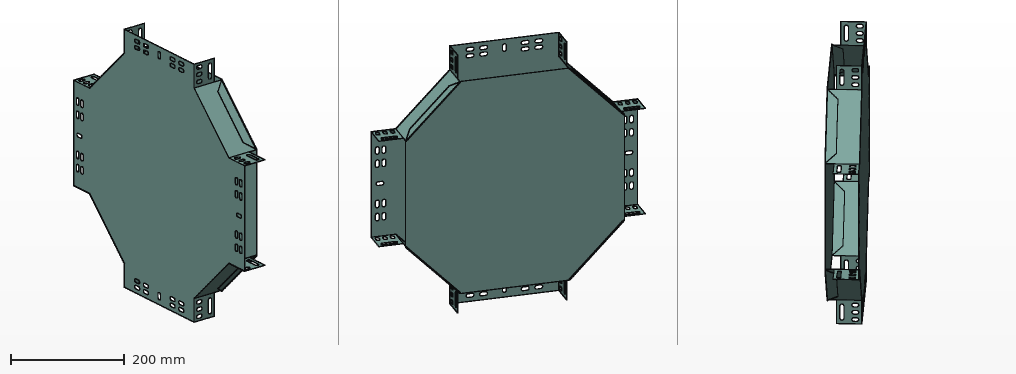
import cadquery as cq
import math


SPAN = 491.5
DEPTH = 61.5
SHEET = 0.75
LID_SHEET = 1.0
ARM_WIDTH = 201.5
ARM_LENGTH = 45.0
TAB_HEIGHT = 45.0

HALF_SPAN = SPAN / 2
HALF_ARM = ARM_WIDTH / 2
ARM_ROOT = HALF_SPAN - ARM_LENGTH
WALL_TOP = DEPTH - LID_SHEET

SLOT_WIDTH = 7.0
FLOOR_SLOT_LENGTH = 14.2
FLOOR_SLOT_ROWS = (11.5, 23.5)
FLOOR_SLOT_OFFSETS = (38.5, 63.5)
CENTRE_SLOT_INSET = 16.0

LONG_SLOT_LENGTH = 30.5
LONG_SLOT_HEIGHT = 35.5
SHORT_SLOT_LENGTH = 12.0
SHORT_SLOT_HEIGHT = 12.0
SHORT_SLOT_PITCH = 14.0
TAB_SLOT_INSET = 22.0
TAB_SLOT_CENTRE = HALF_SPAN - TAB_SLOT_INSET

LID_CLEARANCE = 0.5
LID_HALF = ARM_ROOT + LID_CLEARANCE + LID_SHEET
LIP_DEPTH = 19.5
WALL_DISTANCE = (ARM_ROOT + HALF_ARM) / math.sqrt(2)
LIP_INNER = WALL_DISTANCE + LID_CLEARANCE
LIP_OUTER = LIP_INNER + LID_SHEET
LID_CORNER = LIP_OUTER * math.sqrt(2) - LID_HALF
LIP_HALF_LENGTH = (LID_HALF - LID_CORNER) / math.sqrt(2)

QUARTER_TURNS = (0, 90, 180, 270)
DIAGONAL_TURNS = (45, 135, 225, 315)


def turned(shape, angle):
    """Turn a shape about the central Y axis."""
    return shape.rotate((0, 0, 0), (0, 1, 0), angle)


def plate(outline, y_start, y_end):
    """Solid with an XZ outline that fills y_start to y_end."""
    return outline.extrude(y_start - y_end).translate((0, y_start, 0))


def block(x_range, y_range, z_range):
    """Axis-aligned block given by its limits on each axis."""
    ranges = (x_range, y_range, z_range)
    size = [high - low for low, high in ranges]
    return cq.Workplane("XY").box(*size, centered=False).translate((x_range[0], y_range[0], z_range[0]))


def cross_outline():
    """Four arms joined by diagonal edges."""
    quadrant_signs = ((1, 1), (-1, 1), (-1, -1), (1, -1))
    points = []
    for x_sign, z_sign in quadrant_signs:
        corner = [
            (x_sign * HALF_SPAN, z_sign * HALF_ARM),
            (x_sign * ARM_ROOT, z_sign * HALF_ARM),
            (x_sign * HALF_ARM, z_sign * ARM_ROOT),
            (x_sign * HALF_ARM, z_sign * HALF_SPAN),
        ]
        points += corner if x_sign == z_sign else corner[::-1]
    return cq.Workplane("XZ").polyline(points).close()


def floor_slots():
    """Slot cutters through the floor of the +X arm."""
    fixing_points = [
        (HALF_SPAN - inset, side * offset)
        for inset in FLOOR_SLOT_ROWS
        for offset in FLOOR_SLOT_OFFSETS
        for side in (-1, 1)
    ]
    fixing = cq.Workplane("XZ").pushPoints(fixing_points).slot2D(FLOOR_SLOT_LENGTH, SLOT_WIDTH, 90)
    centre = cq.Workplane("XZ").center(HALF_SPAN - CENTRE_SLOT_INSET, 0).slot2D(FLOOR_SLOT_LENGTH, SLOT_WIDTH)
    return plate(fixing, 0, SHEET).union(plate(centre, 0, SHEET))


def tab_slots():
    """Slot cutters through both side tabs of the +X arm."""
    long_slot = (
        cq.Workplane("XY").center(TAB_SLOT_CENTRE, LONG_SLOT_HEIGHT)
        .slot2D(LONG_SLOT_LENGTH, SLOT_WIDTH).extrude(HALF_ARM, both=True)
    )
    short_points = [(TAB_SLOT_CENTRE + step * SHORT_SLOT_PITCH, SHORT_SLOT_HEIGHT) for step in (-1, 0, 1)]
    short_slots = (
        cq.Workplane("XY").pushPoints(short_points)
        .slot2D(SHORT_SLOT_LENGTH, SLOT_WIDTH, 90).extrude(HALF_ARM, both=True)
    )
    return long_slot.union(short_slots)


def arm_opening():
    """Cutter that opens the tip of the +X arm and trims its tabs to height."""
    inner_half = HALF_ARM - SHEET
    tip = block((ARM_ROOT, HALF_SPAN), (SHEET, WALL_TOP), (-inner_half, inner_half))
    above_tabs = block((ARM_ROOT, HALF_SPAN), (TAB_HEIGHT, WALL_TOP), (-HALF_ARM, HALF_ARM))
    return tip.union(above_tabs)


def make_tray():
    """Floor with diagonal walls and two slotted tabs on each arm."""
    tray = plate(cross_outline(), 0, WALL_TOP)
    tray = tray.cut(plate(cross_outline().offset2D(-SHEET), SHEET, WALL_TOP))
    for angle in QUARTER_TURNS:
        for cutter in (arm_opening(), floor_slots(), tab_slots()):
            tray = tray.cut(turned(cutter, angle))
    return tray


def lip():
    """Trapezoid lip on the +X side with 45 degree ends."""
    short_half = LIP_HALF_LENGTH - LIP_DEPTH
    return (
        cq.Workplane("YZ", origin=(LIP_INNER, 0, 0))
        .polyline([
            (DEPTH, -LIP_HALF_LENGTH),
            (DEPTH, LIP_HALF_LENGTH),
            (DEPTH - LIP_DEPTH, short_half),
            (DEPTH - LIP_DEPTH, -short_half),
        ])
        .close()
        .extrude(LID_SHEET)
    )


def make_lid():
    """Octagonal plate with a lip over each diagonal wall."""
    outline = cq.Workplane("XZ").polyline([
        (LID_HALF, LID_CORNER), (LID_CORNER, LID_HALF),
        (-LID_CORNER, LID_HALF), (-LID_HALF, LID_CORNER),
        (-LID_HALF, -LID_CORNER), (-LID_CORNER, -LID_HALF),
        (LID_CORNER, -LID_HALF), (LID_HALF, -LID_CORNER),
    ]).close()
    lid = plate(outline, WALL_TOP, DEPTH)
    for angle in DIAGONAL_TURNS:
        lid = lid.union(turned(lip(), angle))
    return lid


tray = make_tray()
lid = make_lid()

result = cq.Compound.makeCompound([tray.solids().val(), lid.solids().val()])